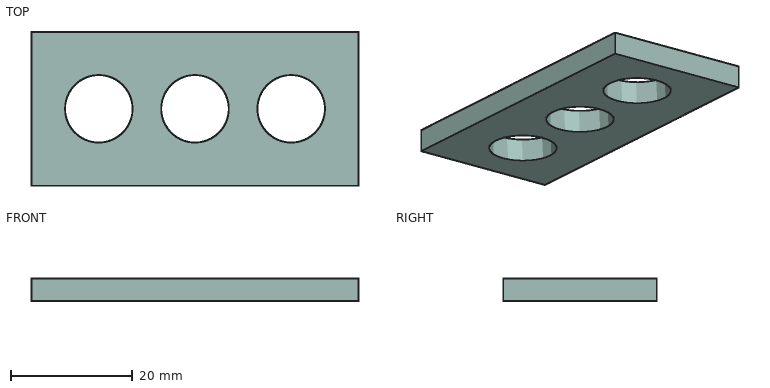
import cadquery as cq

plate_length = 53.975
plate_width = 25.4
plate_thickness = 3.75

hole_diameter = 11.1125
hole_count = 3
hole_spacing = 15.875


def make_plate():
    """Flat rectangular plate centred on the origin."""
    return cq.Workplane("XY").box(plate_length, plate_width, plate_thickness)


def drill_hole_row(plate):
    """Drill the evenly spaced through holes, centred on the plate."""
    return (
        plate.faces(">Z")
        .workplane()
        .rarray(hole_spacing, 1, hole_count, 1)
        .hole(hole_diameter)
    )


result = drill_hole_row(make_plate())